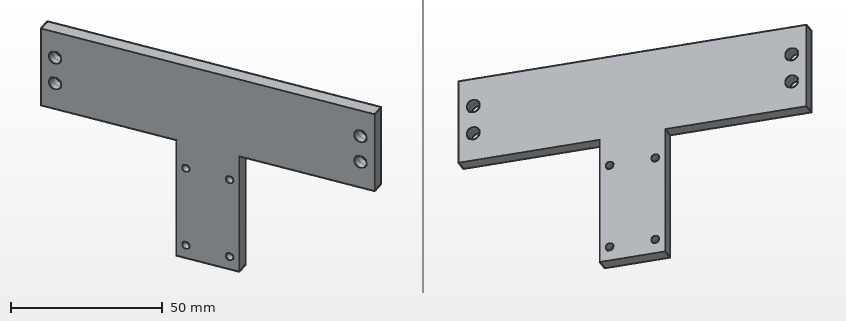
import cadquery as cq

thickness = 5.0
bar_length = 122.0
bar_height = 30.0
stem_width = 23.0
total_height = 75.0

bar_hole_diameter = 4.5
bar_hole_end_margin = 5.2
bar_hole_pitch = 10.0

stem_hole_diameter = 2.7
stem_hole_spacing_x = 16.0
stem_hole_spacing_z = 30.0
stem_hole_bottom_margin = 5.0

top_z = total_height / 2
bottom_z = -total_height / 2
bar_center_z = top_z - bar_height / 2
bar_hole_spacing_x = bar_length - 2 * bar_hole_end_margin
stem_hole_center_z = bottom_z + stem_hole_bottom_margin + stem_hole_spacing_z / 2


def plate(width, z_low, z_high):
    """Flat rectangular plate, centred in X and Y, between two heights."""
    height = z_high - z_low
    center_z = (z_low + z_high) / 2
    return cq.Workplane("XY").box(width, thickness, height).translate((0, 0, center_z))


def hole_group(center_z, spacing_x, spacing_z, diameter):
    """Four cylinders along Y on a rectangle centred at X = 0, as a through-hole cutter."""
    return (
        cq.Workplane("XZ")
        .center(0, center_z)
        .rect(spacing_x, spacing_z, forConstruction=True)
        .vertices()
        .circle(diameter / 2)
        .extrude(thickness, both=True)
    )


tee = plate(bar_length, top_z - bar_height, top_z).union(plate(stem_width, bottom_z, top_z)).clean()

bar_holes = hole_group(bar_center_z, bar_hole_spacing_x, bar_hole_pitch, bar_hole_diameter)
stem_holes = hole_group(stem_hole_center_z, stem_hole_spacing_x, stem_hole_spacing_z, stem_hole_diameter)

result = tee.cut(bar_holes).cut(stem_holes)